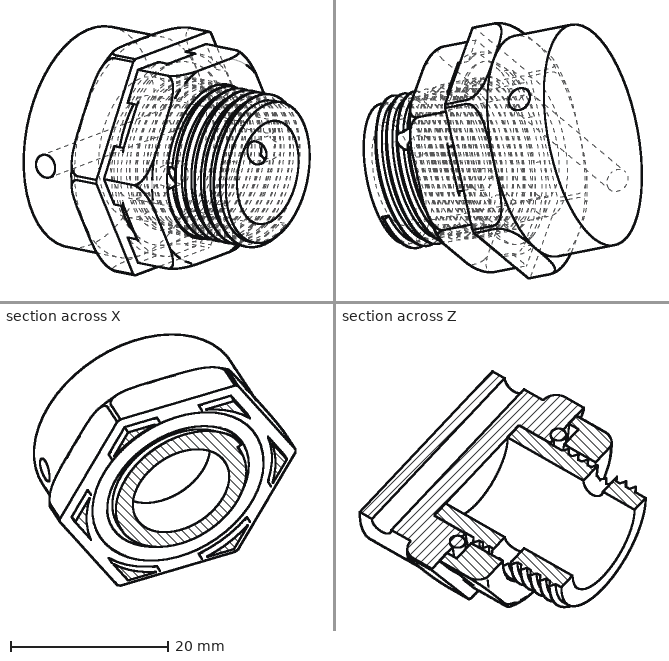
import cadquery as cq
import math

flange_start = 8.0
joint_face = 12.95
groove_end = 14.42
nut_end = 19.42
overall_length = 28.0

cap_diameter = 28.58
flange_flats = cap_diameter
flange_corner_diameter = 32.7
vent_diameter = 3.0
vent_x = 3.45

nut_flats = 25.5
nut_bore_diameter = 19.95
groove_diameter = 26.15

corner_rounding = 2.0
nut_rounding_overrun = 0.05

stud_start = flange_start
stud_diameter = 18.18
stud_bore_diameter = 13.3
drain_diameter = 3.0
near_drain_x = 18.85
far_drain_x = 21.45

thread_pitch = 1.5
thread_diameter = 19.62
thread_crest_width = 0.1
thread_flank_angle = 30
thread_embedding = 0.03
thread_start_x = 13.95
thread_start_angle = 30
thread_turns = 8.75

ring_section_radius = 0.98
ring_center_radius = 10.85

TOWARDS_MINUS_Y = 1
TOWARDS_PLUS_Y = -1


def along_x(start_x):
    """Workplane facing +X, with its local x along Y and its local y along Z."""
    return cq.Workplane("YZ", origin=(start_x, 0, 0))


def rod(diameter, start_x, end_x):
    return along_x(start_x).circle(diameter / 2).extrude(end_x - start_x)


def corner_span(flats):
    """Distance between opposite corners of a hexagon."""
    return 2 * flats / math.sqrt(3)


def hexagon(flats, start_x, end_x):
    """Hexagonal prism with two flats facing up and down."""
    return along_x(start_x).polygon(6, corner_span(flats)).extrude(end_x - start_x)


def radial_hole(diameter, x, side):
    """Cutter from the axis outward along Y, past every surface on that side."""
    length = side * flange_corner_diameter
    return cq.Workplane("XZ", origin=(x, 0, 0)).circle(diameter / 2).extrude(length)


def make_sealing_ring():
    """Full torus around the X axis, centred on the joint face."""
    section = cq.Workplane("XY").center(joint_face, ring_center_radius).circle(ring_section_radius)
    axis_start = (0, -ring_center_radius)
    axis_end = (1, -ring_center_radius)
    return section.revolve(360, axis_start, axis_end)


def make_head():
    blank = rod(flange_corner_diameter, flange_start, joint_face)
    blank = blank.faces("<X").edges().fillet(corner_rounding)
    flange = hexagon(flange_flats, flange_start, joint_face).intersect(blank)
    head = rod(cap_diameter, 0, joint_face).union(flange)

    stud_socket = rod(stud_diameter, stud_start, joint_face)
    head = head.cut(stud_socket)
    for side in (TOWARDS_MINUS_Y, TOWARDS_PLUS_Y):
        head = head.cut(radial_hole(vent_diameter, vent_x, side))

    return head.cut(make_sealing_ring())


def make_lock_nut():
    blank = rod(corner_span(nut_flats), joint_face, nut_end + nut_rounding_overrun)
    blank = blank.faces(">X").edges().fillet(corner_rounding)
    nut = hexagon(nut_flats, joint_face, nut_end).intersect(blank)
    nut = nut.cut(rod(nut_bore_diameter, joint_face, nut_end))
    return nut.cut(rod(groove_diameter, joint_face, groove_end))


def thread_ridge():
    """Right-handed ridge of trapezoidal section, its foot sunk slightly into the stud."""
    foot_radius = stud_diameter / 2 - thread_embedding
    crest_radius = thread_diameter / 2
    crest_half = thread_crest_width / 2
    flank_width = (crest_radius - foot_radius) * math.tan(math.radians(thread_flank_angle))
    foot_half = crest_half + flank_width
    corners = [
        (foot_radius, -foot_half),
        (crest_radius, -crest_half),
        (crest_radius, crest_half),
        (foot_radius, foot_half),
    ]
    path = cq.Wire.makeHelix(thread_pitch, thread_turns * thread_pitch, foot_radius)
    ridge = cq.Workplane("XZ").polyline(corners).close().sweep(cq.Workplane(path), isFrenet=True)

    ridge = ridge.rotate((0, 0, 0), (1, 1, 1), 120)
    ridge = ridge.rotate((0, 0, 0), (1, 0, 0), thread_start_angle)
    return ridge.translate((thread_start_x, 0, 0))


def make_stud():
    stud = rod(stud_diameter, stud_start, overall_length)
    stud = stud.cut(rod(stud_bore_diameter, stud_start, overall_length))
    stud = stud.union(thread_ridge())

    stud = stud.cut(radial_hole(drain_diameter, near_drain_x, TOWARDS_MINUS_Y))
    return stud.cut(radial_hole(drain_diameter, far_drain_x, TOWARDS_PLUS_Y))


head = make_head().solids()
stud = make_stud().solids()
sealing_ring = make_sealing_ring()
lock_nut = make_lock_nut().solids()

result = cq.Compound.makeCompound([head.val(), stud.val(), sealing_ring.val(), lock_nut.val()])